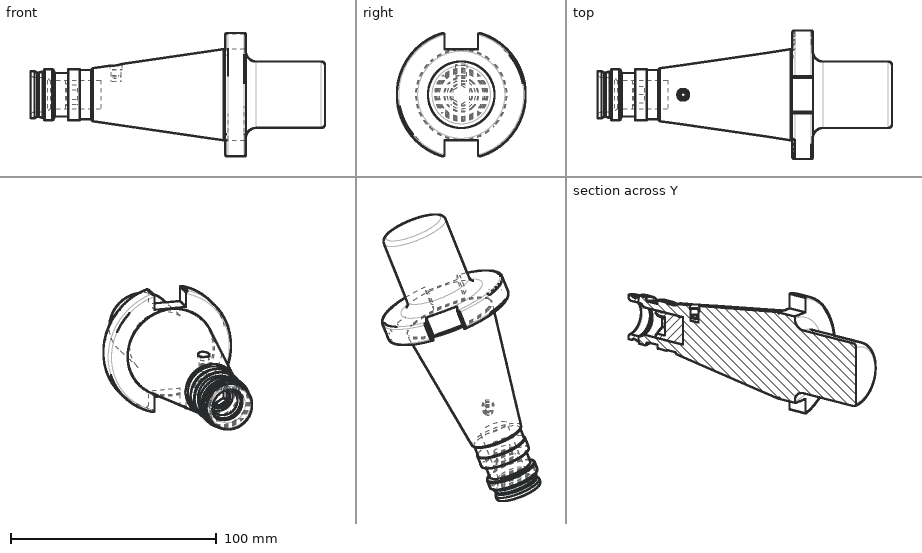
import cadquery as cq
import math

TOTAL_LENGTH = 143.4

BUSH_LENGTH = 6.7
BUSH_RADIUS = 11.5
BUSH_EDGE_FILLET = 0.6
BUSH_BORE_RADIUS = 8.5
BUSH_MOUTH_FILLET = 2.0
GROOVE_FLOOR_RADIUS = 10.8
GROOVE_START = 2.0
GROOVE_FLOOR_START = 3.3
GROOVE_FLOOR_END = 4.2
GROOVE_END = 5.9
REAR_LAND_RADIUS = 11.3

COLLAR_RADIUS = 12.5
COLLAR_CHAMFER = 0.3
FRONT_COLLAR_BEVEL_START = 10.6
FRONT_COLLAR_BEVEL_END = 11.2
FRONT_COLLAR_BEVEL_RADIUS = 12.2
FRONT_COLLAR_END = 11.9
RETENTION_GROOVE_RADIUS = 10.6
REAR_COLLAR_START = 18.4
REAR_COLLAR_END = 24.2
NECK_RADIUS = 12.0
NECK_END = 29.5

TAPER_START = 30.4
TAPER_END = 93.9
TAPER_LARGE_RADIUS = 22.2
TAPER_SLOPE = 7 / 24 / 2
TAPER_SMALL_RADIUS = TAPER_LARGE_RADIUS - TAPER_SLOPE * (TAPER_END - TAPER_START)

RELIEF_RADIUS = 21.8
RELIEF_FLOOR_START = 94.4

FLANGE_START = 94.8
FLANGE_END = 104.8
FLANGE_RADIUS = 31.4
FLANGE_FRONT_FILLET = 1.3
FLANGE_REAR_FILLET = 1.0
SLOT_WIDTH = 16.0
SLOT_FLOOR = 22.2
SLOT_CHAMFER_WIDTH = 1.1
SLOT_CHAMFER_DROP = 0.5

NOSE_RADIUS = 16.2
NOSE_ROOT_FILLET = 5.0
NOSE_END_FILLET = 2.0

BORE_ENTRY_END = 7.5
BORE_STEP_RADIUS = 8.0
BORE_CONE_START = 8.5
BORE_CONE_END = 9.8
CLAMP_BORE_RADIUS = 6.9
CLAMP_SCREW_START = 17.2
CLAMP_SCREW_LENGTH = 17.2
CLAMP_RECESS_RADIUS = 5.2
CLAMP_RECESS_DEPTH = 0.9
CLAMP_RECESS_CHAMFER = 0.5
CLAMP_HEX_WIDTH = 8.0
CLAMP_HEX_DEPTH = 5.7

GRUB_X = 41.7
GRUB_POCKET_RADIUS = 2.9
GRUB_POCKET_FLOOR = 12.3
GRUB_COUNTERSINK_DEPTH = 0.3
GRUB_RADIUS = 2.5
GRUB_TOP = 9.3
GRUB_CHAMFER = 0.6
GRUB_LENGTH = 2.9
GRUB_BOTTOM = GRUB_TOP - GRUB_LENGTH
GRUB_HEX_WIDTH = 2.3
GRUB_HEX_DEPTH = 1.5


def turn(outline):
    """Revolve a closed outline of (x, radius) about the X axis."""
    return outline.close().revolve(360, (0, 0, 0), (1, 0, 0))


def arc_inset(radius):
    """Distance from each tangent line of a square corner to the middle of its fillet arc."""
    return radius * (1 - math.sqrt(0.5))


def hex_corner_diameter(width_across_flats):
    return width_across_flats / math.cos(math.radians(30))


def tail_bush():
    mouth_radius = BUSH_BORE_RADIUS + BUSH_MOUTH_FILLET
    mouth_offset = arc_inset(BUSH_MOUTH_FILLET)
    edge_offset = arc_inset(BUSH_EDGE_FILLET)
    outline = (
        cq.Workplane("XZ")
        .moveTo(0, mouth_radius)
        .lineTo(0, BUSH_RADIUS - BUSH_EDGE_FILLET)
        .threePointArc((edge_offset, BUSH_RADIUS - edge_offset), (BUSH_EDGE_FILLET, BUSH_RADIUS))
        .lineTo(GROOVE_START, BUSH_RADIUS)
        .lineTo(GROOVE_FLOOR_START, GROOVE_FLOOR_RADIUS)
        .lineTo(GROOVE_FLOOR_END, GROOVE_FLOOR_RADIUS)
        .lineTo(GROOVE_END, REAR_LAND_RADIUS)
        .lineTo(BUSH_LENGTH, REAR_LAND_RADIUS)
        .lineTo(BUSH_LENGTH, BUSH_BORE_RADIUS)
        .lineTo(BUSH_MOUTH_FILLET, BUSH_BORE_RADIUS)
        .threePointArc((mouth_offset, BUSH_BORE_RADIUS + mouth_offset), (0, mouth_radius))
    )
    return turn(outline)


def holder_blank():
    """Turned outside of the holder, from the tail to the nose."""
    root_end = FLANGE_END + NOSE_ROOT_FILLET
    root_offset = arc_inset(NOSE_ROOT_FILLET)
    end_offset = arc_inset(NOSE_END_FILLET)
    front_offset = arc_inset(FLANGE_FRONT_FILLET)
    rear_offset = arc_inset(FLANGE_REAR_FILLET)
    outline = (
        cq.Workplane("XZ")
        .moveTo(BUSH_LENGTH, 0)
        .lineTo(BUSH_LENGTH, COLLAR_RADIUS - COLLAR_CHAMFER)
        .lineTo(BUSH_LENGTH + COLLAR_CHAMFER, COLLAR_RADIUS)
        .lineTo(FRONT_COLLAR_BEVEL_START, COLLAR_RADIUS)
        .lineTo(FRONT_COLLAR_BEVEL_END, FRONT_COLLAR_BEVEL_RADIUS)
        .lineTo(FRONT_COLLAR_END, RETENTION_GROOVE_RADIUS)
        .lineTo(REAR_COLLAR_START, RETENTION_GROOVE_RADIUS)
        .lineTo(REAR_COLLAR_START, COLLAR_RADIUS - COLLAR_CHAMFER)
        .lineTo(REAR_COLLAR_START + COLLAR_CHAMFER, COLLAR_RADIUS)
        .lineTo(REAR_COLLAR_END - COLLAR_CHAMFER, COLLAR_RADIUS)
        .lineTo(REAR_COLLAR_END, NECK_RADIUS)
        .lineTo(NECK_END, NECK_RADIUS)
        .lineTo(TAPER_START, TAPER_SMALL_RADIUS)
        .lineTo(TAPER_END, TAPER_LARGE_RADIUS)
        .lineTo(RELIEF_FLOOR_START, RELIEF_RADIUS)
        .lineTo(FLANGE_START, RELIEF_RADIUS)
        .lineTo(FLANGE_START, FLANGE_RADIUS - FLANGE_FRONT_FILLET)
        .threePointArc(
            (FLANGE_START + front_offset, FLANGE_RADIUS - front_offset),
            (FLANGE_START + FLANGE_FRONT_FILLET, FLANGE_RADIUS),
        )
        .lineTo(FLANGE_END - FLANGE_REAR_FILLET, FLANGE_RADIUS)
        .threePointArc(
            (FLANGE_END - rear_offset, FLANGE_RADIUS - rear_offset),
            (FLANGE_END, FLANGE_RADIUS - FLANGE_REAR_FILLET),
        )
        .lineTo(FLANGE_END, NOSE_RADIUS + NOSE_ROOT_FILLET)
        .threePointArc((FLANGE_END + root_offset, NOSE_RADIUS + root_offset), (root_end, NOSE_RADIUS))
        .lineTo(TOTAL_LENGTH - NOSE_END_FILLET, NOSE_RADIUS)
        .threePointArc(
            (TOTAL_LENGTH - end_offset, NOSE_RADIUS - end_offset),
            (TOTAL_LENGTH, NOSE_RADIUS - NOSE_END_FILLET),
        )
        .lineTo(TOTAL_LENGTH, 0)
    )
    return turn(outline)


def drive_slot(side):
    """Flat-floored slot across the flange; side is 1 for +Z and -1 for -Z. Its outer edges are chamfered."""
    half_width = SLOT_WIDTH / 2
    mouth_half_width = half_width + SLOT_CHAMFER_WIDTH
    chamfer_top = math.sqrt(FLANGE_RADIUS**2 - mouth_half_width**2)
    chamfer_foot = chamfer_top - SLOT_CHAMFER_DROP
    return (
        cq.Workplane("YZ", origin=(FLANGE_START, 0, 0))
        .moveTo(-half_width, side * SLOT_FLOOR)
        .lineTo(half_width, side * SLOT_FLOOR)
        .lineTo(half_width, side * chamfer_foot)
        .lineTo(mouth_half_width, side * chamfer_top)
        .lineTo(mouth_half_width, side * FLANGE_RADIUS)
        .lineTo(-mouth_half_width, side * FLANGE_RADIUS)
        .lineTo(-mouth_half_width, side * chamfer_top)
        .lineTo(-half_width, side * chamfer_foot)
        .close()
        .extrude(FLANGE_END - FLANGE_START)
    )


def holder_bore():
    """Stepped bore from the tail face to the end of the clamp screw."""
    bore_end = CLAMP_SCREW_START + CLAMP_SCREW_LENGTH
    outline = (
        cq.Workplane("XZ")
        .moveTo(BUSH_LENGTH, 0)
        .lineTo(BUSH_LENGTH, BUSH_BORE_RADIUS)
        .lineTo(BORE_ENTRY_END, BUSH_BORE_RADIUS)
        .lineTo(BORE_ENTRY_END, BORE_STEP_RADIUS)
        .lineTo(BORE_CONE_START, BORE_STEP_RADIUS)
        .lineTo(BORE_CONE_END, CLAMP_BORE_RADIUS)
        .lineTo(bore_end, CLAMP_BORE_RADIUS)
        .lineTo(bore_end, 0)
    )
    return turn(outline)


def grub_hole():
    """Stepped hole down from the taper surface: pocket, countersink, then the grub screw's own hole."""
    countersink_bottom = GRUB_POCKET_FLOOR - GRUB_COUNTERSINK_DEPTH
    return (
        cq.Workplane("XZ", origin=(GRUB_X, 0, 0))
        .moveTo(0, TAPER_LARGE_RADIUS)
        .lineTo(GRUB_POCKET_RADIUS, TAPER_LARGE_RADIUS)
        .lineTo(GRUB_POCKET_RADIUS, GRUB_POCKET_FLOOR)
        .lineTo(GRUB_RADIUS, countersink_bottom)
        .lineTo(GRUB_RADIUS, GRUB_BOTTOM)
        .lineTo(0, GRUB_BOTTOM)
        .close()
        .revolve(360, (0, 0, 0), (0, 1, 0))
    )


def tool_holder():
    return (
        holder_blank()
        .cut(drive_slot(1))
        .cut(drive_slot(-1))
        .cut(holder_bore())
        .cut(grub_hole())
    )


def clamp_screw():
    front = cq.Workplane("YZ", origin=(CLAMP_SCREW_START, 0, 0))
    body = front.circle(CLAMP_BORE_RADIUS).extrude(CLAMP_SCREW_LENGTH)
    recess_floor = CLAMP_SCREW_START + CLAMP_RECESS_DEPTH
    recess = turn(
        cq.Workplane("XZ")
        .moveTo(CLAMP_SCREW_START, 0)
        .lineTo(CLAMP_SCREW_START, CLAMP_RECESS_RADIUS + CLAMP_RECESS_CHAMFER)
        .lineTo(CLAMP_SCREW_START + CLAMP_RECESS_CHAMFER, CLAMP_RECESS_RADIUS)
        .lineTo(recess_floor, CLAMP_RECESS_RADIUS)
        .lineTo(recess_floor, 0)
    )
    socket = (
        front.transformed(rotate=(0, 0, 30))
        .polygon(6, hex_corner_diameter(CLAMP_HEX_WIDTH))
        .extrude(CLAMP_HEX_DEPTH)
    )
    return body.cut(recess).cut(socket)


def grub_screw():
    top = cq.Workplane("XY", origin=(GRUB_X, 0, GRUB_TOP))
    body = top.circle(GRUB_RADIUS).extrude(-GRUB_LENGTH).faces(">Z").chamfer(GRUB_CHAMFER)
    socket = (
        top.transformed(rotate=(0, 0, 30))
        .polygon(6, hex_corner_diameter(GRUB_HEX_WIDTH))
        .extrude(-GRUB_HEX_DEPTH)
    )
    return body.cut(socket)


result = cq.Compound.makeCompound(
    [tail_bush().val(), tool_holder().val(), clamp_screw().val(), grub_screw().val()]
)